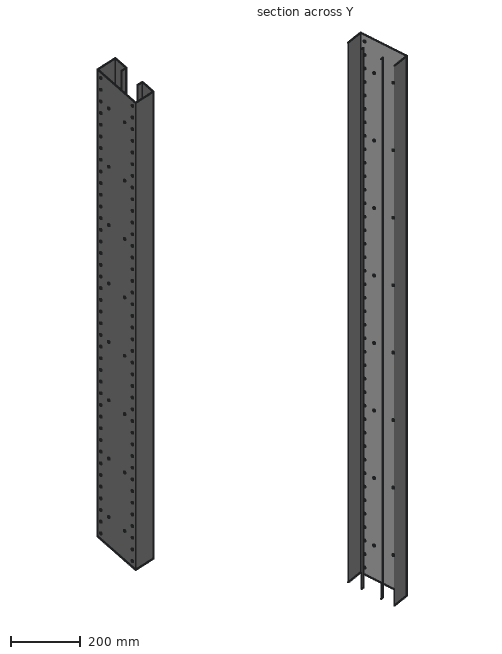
import cadquery as cq

length = 2000.0
width = 170.0
depth = 68.0
thickness = 1.5
slot_width = 70.0
lip_length = 19.0

hole_diameter = 7.0
edge_hole_spacing = 140.0
edge_hole_pitch = 50.0
inner_hole_spacing = edge_hole_spacing / 2
inner_hole_pitch = 5 * edge_hole_pitch

half_width = width / 2
half_slot = slot_width / 2
web_face = -depth / 2
flange_face = depth / 2
lip_end = flange_face - lip_length


def make_channel():
    """Lipped C section with its web facing -Y, extruded along Z."""
    right_half = [
        (0, web_face),
        (half_width, web_face),
        (half_width, flange_face),
        (half_slot, flange_face),
        (half_slot, lip_end),
        (half_slot + thickness, lip_end),
        (half_slot + thickness, flange_face - thickness),
        (half_width - thickness, flange_face - thickness),
        (half_width - thickness, web_face + thickness),
        (0, web_face + thickness),
    ]
    half = cq.Workplane("XY").polyline(right_half).close().extrude(length)
    return half.union(half.mirror("YZ"))


def make_hole_columns(spacing, pitch):
    """Cutters for two columns of web holes, starting half a pitch from each end."""
    rows = round(length / pitch)
    return (
        cq.Workplane("XZ", origin=(0, web_face + thickness, length / 2))
        .rarray(spacing, pitch, 2, rows)
        .circle(hole_diameter / 2)
        .extrude(thickness)
    )


result = (
    make_channel()
    .cut(make_hole_columns(edge_hole_spacing, edge_hole_pitch))
    .cut(make_hole_columns(inner_hole_spacing, inner_hole_pitch))
)